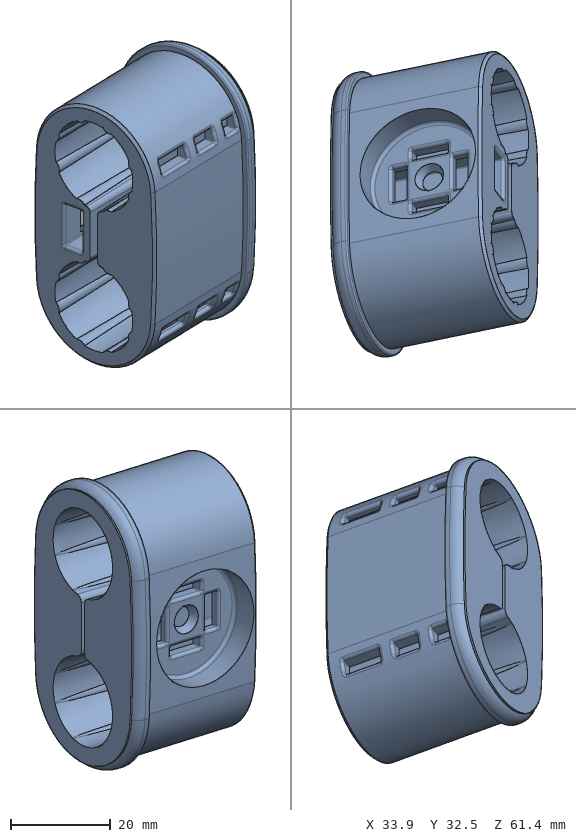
import cadquery as cq
import math

margin = 0.05

half_width = 16.95
half_height = 30.7
length = 32.5

end_center_z = 14.2
end_radius = half_height - end_center_z

flange_thickness = 4.0
flange_back_round = 2.75
flange_front_round = 0.3
body_inset = 1.35
body_chamfer = 0.6
flange_start = length - flange_thickness

hole_center_z = 16.1
hole_radius = 9.95
slot_half_width = 0.9
slot_corner_radius = 1.1
taper_inset = 0.4

rib_angle = 20
rib_round = 1.9
rib_tip_radius = hole_radius - taper_inset

recess_center_y = 13.6
recess_radius = 12.45
recess_floor_x = -9.5
recess_floor_round = 0.75
floor_pocket_depth = 2.7
floor_pocket_length = 7.8
floor_pocket_width_y = 3.15
floor_pocket_width_z = 2.2
floor_pocket_offset_y = 6.6
floor_pocket_offset_z = 6.1
center_hole_mouth_radius = 3.1
center_hole_inner_radius = 2.15

pocket_edge_round = 0.7
pocket_corner_radius = 0.2

end_pocket_center_x = -5.4
end_pocket_width = 4.5
end_pocket_height = 9.45
end_pocket_depth = 28.25

side_pocket_spans = ((3.7, 11.9), (15.2, 20.75), (24.1, 27.75))
side_pocket_bottom_z = 17.55
side_pocket_top_z = 20.25
side_pocket_floor_x = 12.0


def oval(inset, start_y, depth):
    """Oval block from start_y towards +Y, moved inwards by inset."""
    width = half_width - inset
    end_r = end_radius - inset
    side_r = (end_center_z**2 + width**2 - end_r**2) / (2 * (width - end_r))
    side_center_x = width - side_r
    to_end = math.atan2(end_center_z, -side_center_x)
    joint_x = side_center_x + side_r * math.cos(to_end)
    joint_z = side_r * math.sin(to_end)
    height = half_height - inset
    return (
        cq.Workplane("XZ", origin=(0, start_y, 0))
        .moveTo(joint_x, -joint_z)
        .threePointArc((width, 0), (joint_x, joint_z))
        .threePointArc((0, height), (-joint_x, joint_z))
        .threePointArc((-width, 0), (-joint_x, -joint_z))
        .threePointArc((0, -height), (joint_x, -joint_z))
        .close()
        .extrude(-depth)
    )


def hole_section(inset, y):
    """Closed outline of both holes and the slot, moved inwards by inset."""
    radius = hole_radius - inset
    slot = slot_half_width - inset
    corner = slot_corner_radius + inset
    corner_x = slot + corner
    drop = math.sqrt((radius + corner) ** 2 - corner_x**2)
    corner_z = hole_center_z - drop
    share = radius / (radius + corner)
    meet_x = corner_x * share
    meet_z = hole_center_z - drop * share
    bend = math.atan2(drop, -corner_x)
    middle = (bend + math.pi) / 2
    mid_x = corner_x + corner * math.cos(middle)
    mid_z = corner_z + corner * math.sin(middle)
    top = hole_center_z + radius
    return (
        cq.Workplane("XZ", origin=(0, y, 0))
        .moveTo(slot, -corner_z)
        .lineTo(slot, corner_z)
        .threePointArc((mid_x, mid_z), (meet_x, meet_z))
        .threePointArc((0, top), (-meet_x, meet_z))
        .threePointArc((-mid_x, mid_z), (-slot, corner_z))
        .lineTo(-slot, -corner_z)
        .threePointArc((-mid_x, -mid_z), (-meet_x, -meet_z))
        .threePointArc((0, -top), (meet_x, -meet_z))
        .threePointArc((mid_x, -mid_z), (slot, -corner_z))
        .close()
    )


def holes_and_slot():
    """Solid of the joined openings, narrowing towards +Y, with the crush ribs left out."""
    front = hole_section(0, 0).val()
    back = hole_section(taper_inset, length).val()
    opening = cq.Workplane(cq.Solid.makeLoft([front, back], True))
    rib_distance = rib_tip_radius + rib_round
    ribs = []
    for quarter in range(4):
        for angle in (rib_angle, 90 - rib_angle):
            turn = math.radians(90 * quarter + angle)
            rib_x = rib_distance * math.cos(turn)
            rib_z = rib_distance * math.sin(turn)
            ribs += [(rib_x, hole_center_z + rib_z), (rib_x, -hole_center_z + rib_z)]
    bars = cq.Workplane("XZ").pushPoints(ribs).circle(rib_round).extrude(-length)
    return opening.cut(bars)


def cut_pocket(part, pocket, low, high):
    """Cut pocket out of part and round the mouth edges that lie between two corner points."""
    mouth = cq.selectors.BoxSelector(low, high, boundingbox=True)
    return part.cut(pocket).edges(mouth).fillet(pocket_edge_round)


def cut_floor_pocket(part, center_y, center_z, size_y, size_z):
    """Sink a rectangular pocket into the floor of the round recess."""
    sketch = cq.Sketch().rect(size_y, size_z).vertices().fillet(pocket_corner_radius)
    pocket = cq.Workplane("YZ", origin=(recess_floor_x, center_y, center_z)).placeSketch(sketch)
    pocket = pocket.extrude(floor_pocket_depth)
    reach_y = size_y / 2 + margin
    reach_z = size_z / 2 + margin
    low = (recess_floor_x - margin, center_y - reach_y, center_z - reach_z)
    high = (recess_floor_x + margin, center_y + reach_y, center_z + reach_z)
    return cut_pocket(part, pocket, low, high)


def cut_end_pocket(part):
    """Cut the long blind pocket that starts at the insertion end."""
    sketch = cq.Sketch().rect(end_pocket_width, end_pocket_height).vertices().fillet(pocket_corner_radius)
    pocket = cq.Workplane("XZ", origin=(end_pocket_center_x, 0, 0)).placeSketch(sketch)
    pocket = pocket.extrude(-end_pocket_depth)
    reach_x = end_pocket_width / 2 + margin
    reach_z = end_pocket_height / 2 + margin
    low = (end_pocket_center_x - reach_x, -margin, -reach_z)
    high = (end_pocket_center_x + reach_x, margin, reach_z)
    return cut_pocket(part, pocket, low, high)


def cut_side_pocket(part, start_y, end_y, side):
    """Cut one pocket into the +X side; side is 1 for the upper row, -1 for the lower."""
    size_y = end_y - start_y
    size_z = side_pocket_top_z - side_pocket_bottom_z
    center_y = (start_y + end_y) / 2
    center_z = side * (side_pocket_bottom_z + side_pocket_top_z) / 2
    sketch = cq.Sketch().rect(size_y, size_z).vertices().fillet(pocket_corner_radius)
    pocket = cq.Workplane("YZ", origin=(side_pocket_floor_x, center_y, center_z)).placeSketch(sketch)
    pocket = pocket.extrude(half_width)
    low = (side_pocket_floor_x + margin, start_y - margin, center_z - size_z / 2 - margin)
    high = (half_width, end_y + margin, center_z + size_z / 2 + margin)
    return cut_pocket(part, pocket, low, high)


body = oval(body_inset, 0, length).faces("<Y").chamfer(body_chamfer)
flange = oval(0, flange_start, flange_thickness)
flange = flange.faces(">Y").edges().fillet(flange_back_round)
flange = flange.faces("<Y").edges().fillet(flange_front_round)
result = body.union(flange).cut(holes_and_slot())

recess = (
    cq.Workplane("YZ", origin=(recess_floor_x, recess_center_y, 0))
    .circle(recess_radius)
    .extrude(-half_width)
    .faces(">X")
    .edges()
    .fillet(recess_floor_round)
)
result = result.cut(recess)

for side in (-1, 1):
    across_y = recess_center_y + side * floor_pocket_offset_y
    above_z = side * floor_pocket_offset_z
    result = cut_floor_pocket(result, across_y, 0, floor_pocket_width_y, floor_pocket_length)
    result = cut_floor_pocket(result, recess_center_y, above_z, floor_pocket_length, floor_pocket_width_z)
center_hole = cq.Solid.makeCone(
    center_hole_mouth_radius,
    center_hole_inner_radius,
    end_pocket_center_x - end_pocket_width / 2 - recess_floor_x,
    cq.Vector(recess_floor_x, recess_center_y, 0),
    cq.Vector(1, 0, 0),
)
result = result.cut(cq.Workplane(center_hole))

result = cut_end_pocket(result)

for start_y, end_y in side_pocket_spans:
    for side in (-1, 1):
        result = cut_side_pocket(result, start_y, end_y, side)